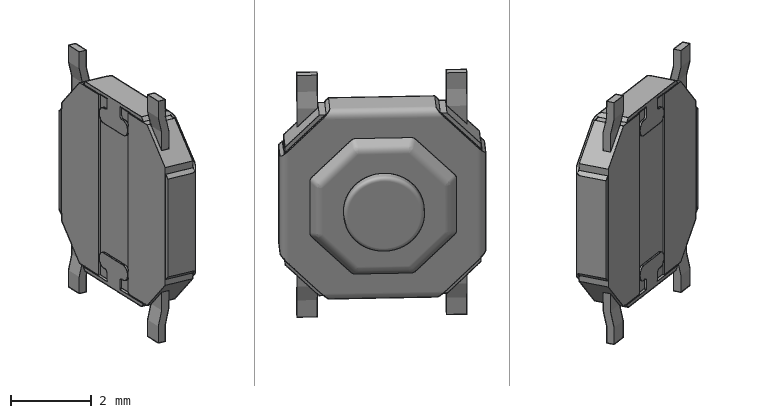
import cadquery as cq
import math

cover_width = 5.1
total_height = 1.5
lead_span = 6.5

cover_thickness = 0.1
cover_top = 0.905
cover_bend_radius = 0.21
cover_corner_reach = 3.87

base_clearance = 0.025
base_width = cover_width - 2 * (cover_thickness + base_clearance)
base_top = cover_top - cover_thickness
base_corner_reach = 4.01
channel_width = 1.39
channel_depth = 0.05

tab_neck_width = 0.61
tab_neck_corner_radius = 0.08
tab_head_width = 1.32
tab_head_height = 0.4
tab_reach = 0.805
tab_head_radius = 0.195

dome_top = 1.2
dome_apothem = 1.82
dome_taper = 33.0
dome_corner_radius = 0.2
dome_edge_radius = 0.215

button_radius = 1.0
button_edge_radius = 0.1

lead_width = 0.51
lead_offset = 1.85
lead_thickness = 0.21
lead_lift = 0.1
lead_foot_length = 0.45
lead_bend_length = 0.41
lead_length = 1.69


def plane_at(height):
    """Workplane facing +Y; its local x is X and its local y is -Z."""
    return cq.Workplane(cq.Plane((0, height, 0), (1, 0, 0), (0, 1, 0)))


def octagon_prism(width, corner_reach, bottom, top):
    """Square prism along Y with its corners cut at |x| + |z| = corner_reach."""
    corner_cut = width - corner_reach
    return (
        plane_at(bottom)
        .rect(width, width)
        .extrude(top - bottom)
        .edges("|Y")
        .chamfer(corner_cut)
    )


def make_cover():
    """Inverted cup with rounded top edges, open at the bottom and the corners."""
    cup = (
        plane_at(0)
        .rect(cover_width, cover_width)
        .extrude(cover_top)
        .faces(">Y")
        .edges()
        .fillet(cover_bend_radius)
    )
    cavity_width = cover_width - 2 * cover_thickness
    cavity = plane_at(0).rect(cavity_width, cavity_width).extrude(base_top)
    corner_limits = octagon_prism(cover_width, cover_corner_reach, 0, cover_top)
    return cup.cut(cavity).intersect(corner_limits)


def make_base():
    """Octagonal block with a shallow channel along Z in its mounting face."""
    block = octagon_prism(base_width, base_corner_reach, 0, base_top)
    channel = plane_at(0).rect(channel_width, base_width).extrude(channel_depth)
    return block.cut(channel)


def make_tab(side):
    """Tab on the +Z (side = 1) or -Z (side = -1) wall, filling the channel depth."""
    wall = cover_width / 2 - cover_thickness
    head_centre = cover_width / 2 - tab_reach + tab_head_height / 2
    head_outer_edge = head_centre + tab_head_height / 2
    neck_length = wall - head_centre
    neck = (
        plane_at(0)
        .center(0, -side * (wall + head_centre) / 2)
        .rect(tab_neck_width, neck_length)
        .extrude(channel_depth)
    )
    head = (
        plane_at(0)
        .center(0, -side * head_centre)
        .rect(tab_head_width, tab_head_height)
        .extrude(channel_depth)
        .edges("|Y")
        .fillet(tab_head_radius)
    )
    tab = neck.union(head)
    for x in (-tab_neck_width / 2, tab_neck_width / 2):
        inner_corner = cq.selectors.NearestToPointSelector((x, channel_depth / 2, side * head_outer_edge))
        tab = tab.edges("|Y").edges(inner_corner).fillet(tab_neck_corner_radius)
    return tab


def make_dome():
    """Tapered regular octagon with rounded slanted and top edges."""
    corner_radius = dome_apothem / math.cos(math.pi / 8)
    corner_angles = [math.pi / 8 + i * math.pi / 4 for i in range(8)]
    corners = [(corner_radius * math.cos(a), corner_radius * math.sin(a)) for a in corner_angles]
    dome = (
        plane_at(cover_top)
        .polyline(corners)
        .close()
        .extrude(dome_top - cover_top, taper=dome_taper)
    )
    return dome.edges("not #Y").fillet(dome_corner_radius).faces(">Y").edges().fillet(dome_edge_radius)


def make_button():
    return (
        plane_at(dome_top)
        .circle(button_radius)
        .extrude(total_height - dome_top)
        .faces(">Y")
        .edges()
        .fillet(button_edge_radius)
    )


def make_lead(x_side, z_side):
    """Strip with a flat foot at the mounting face, bent up into the base."""
    tip = lead_span / 2
    foot_end = tip - lead_foot_length
    bend_end = foot_end - lead_bend_length
    root = tip - lead_length
    profile = [
        (0, tip),
        (0, foot_end),
        (lead_lift, bend_end),
        (lead_lift, root),
        (lead_lift + lead_thickness, root),
        (lead_lift + lead_thickness, bend_end),
        (lead_thickness, foot_end),
        (lead_thickness, tip),
    ]
    return (
        cq.Workplane("YZ")
        .polyline([(y, z_side * z) for y, z in profile])
        .close()
        .extrude(lead_width / 2, both=True)
        .translate((x_side * lead_offset, 0, 0))
    )


result = make_base().union(make_cover()).union(make_dome()).union(make_button())
for z_side in (1, -1):
    result = result.union(make_tab(z_side))
    for x_side in (1, -1):
        result = result.union(make_lead(x_side, z_side))